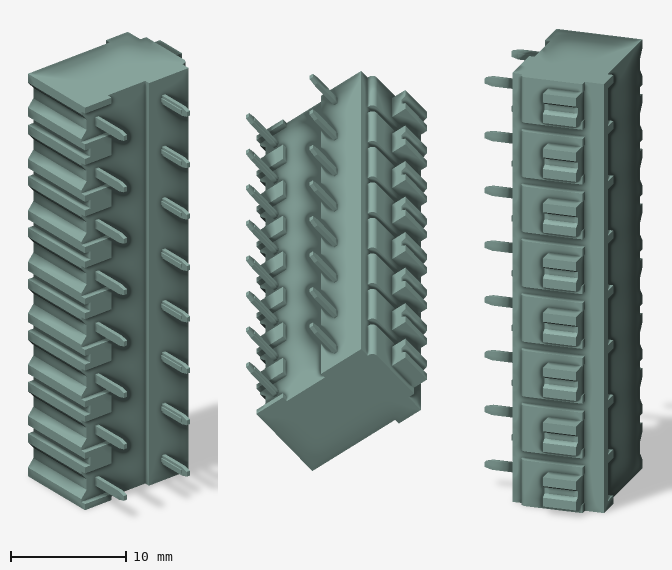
import cadquery as cq

LENGTH = 39.75
POLES = 8
END_MARGIN = 2.1
PITCH = (LENGTH - 2 * END_MARGIN) / (POLES - 1)

BODY_LEFT = 0.5
BODY_RIGHT = 8.43
BODY_REAR = 11.55

LIP_BOTTOM = 10.5
LEG_BOTTOM = 9.1
LEG_WIDTH = 0.75

RIDGE_LEFT = 1.75
RIDGE_RIGHT = 7.5
RIDGE_REAR = 12.15
RIDGE_FILLET = 0.5

TAB_LEFT = 1.83
TAB_RIGHT = 4.9
TAB_REAR = 13.65
TAB_WIDTH = 2.7
TAB_NOTCH_DEPTH = 0.45
TAB_NOTCH_MOUTH = 1.07
TAB_NOTCH_FLOOR = 0.55

GROOVE_DEPTH = 0.6
GROOVE_MOUTH = 2.45
GROOVE_FLOOR = 1.05
SLOT_WIDTH = 0.85

STANDOFF = 0.5
CHANNEL_FRONT = 2.95
CHANNEL_REAR = 7.1
POCKET_WIDTH = 3.02

PIN_TIP = 11.9
PIN_ROOT = 7.5
PIN_WIDTH = 0.85
PIN_TIP_WIDTH = 0.48
PIN_TAPER_LENGTH = 0.68
PIN_THICKNESS = 0.35
PIN_RIB_WIDTH = 0.35
PIN_RIB_HEIGHT = 0.1
FRONT_PIN_OUTER = 1.55
REAR_PIN_OUTER = 8.9

POLE_CENTERS = [END_MARGIN + PITCH * i for i in range(POLES)]
GAP_CENTERS = [z + PITCH / 2 for z in POLE_CENTERS[:-1]]


def box(x0, x1, y0, y1, z0, z1):
    """Axis-aligned block between two corners."""
    return cq.Workplane("XY").box(x1 - x0, y1 - y0, z1 - z0, centered=False).translate((x0, y0, z0))


def trapezoid_bar(x0, x1, y_mouth, y_floor, mouth, floor, z):
    """Bar along X with a trapezoid section, widest at y_mouth."""
    section = [
        (y_mouth, z - mouth / 2),
        (y_mouth, z + mouth / 2),
        (y_floor, z + floor / 2),
        (y_floor, z - floor / 2),
    ]
    return cq.Workplane("YZ", origin=(x0, 0, 0)).polyline(section).close().extrude(x1 - x0)


def housing():
    """Body, ridge and lip with the right-face channel."""
    body = box(BODY_LEFT, BODY_RIGHT, 0, BODY_REAR, 0, LENGTH)
    ridge = box(RIDGE_LEFT, RIDGE_RIGHT, BODY_REAR, RIDGE_REAR, 0, LENGTH)
    ridge = ridge.edges(">X and >Y").fillet(RIDGE_FILLET)
    lip = box(0, BODY_LEFT, LIP_BOTTOM, BODY_REAR, 0, LENGTH)
    channel = box(BODY_RIGHT - STANDOFF, BODY_RIGHT, CHANNEL_FRONT, CHANNEL_REAR, 0, LENGTH)
    return body.union(ridge).union(lip).cut(channel)


def lip_leg(z0, z1):
    return box(0, BODY_LEFT, LEG_BOTTOM, LIP_BOTTOM, z0, z1)


def tab(z):
    """Rear tab with a tapered notch in its end."""
    plate = box(TAB_LEFT, TAB_RIGHT, BODY_REAR, TAB_REAR, z - TAB_WIDTH / 2, z + TAB_WIDTH / 2)
    notch = trapezoid_bar(
        TAB_LEFT, TAB_RIGHT, TAB_REAR, TAB_REAR - TAB_NOTCH_DEPTH, TAB_NOTCH_MOUTH, TAB_NOTCH_FLOOR, z
    )
    return plate.cut(notch)


def pin(y_outer, inward, z):
    """Pin with a tapered tip; inward is the Y direction (+1 or -1) of its ribbed face."""
    shoulder = PIN_TIP - PIN_TAPER_LENGTH
    outline = [
        (PIN_ROOT, z - PIN_WIDTH / 2),
        (shoulder, z - PIN_WIDTH / 2),
        (PIN_TIP, z - PIN_TIP_WIDTH / 2),
        (PIN_TIP, z + PIN_TIP_WIDTH / 2),
        (shoulder, z + PIN_WIDTH / 2),
        (PIN_ROOT, z + PIN_WIDTH / 2),
    ]
    face = cq.Workplane("XZ", origin=(0, y_outer, 0))
    blade = face.polyline(outline).close().extrude(-inward * PIN_THICKNESS)
    rib = (
        face.center((PIN_ROOT + shoulder) / 2, z)
        .rect(shoulder - PIN_ROOT, PIN_RIB_WIDTH)
        .extrude(-inward * (PIN_THICKNESS + PIN_RIB_HEIGHT))
    )
    return blade.union(rib)


result = housing()

for z in GAP_CENTERS:
    z0, z1 = z - SLOT_WIDTH / 2, z + SLOT_WIDTH / 2
    result = result.cut(box(BODY_LEFT, BODY_RIGHT, 0, GROOVE_DEPTH, z0, z1))
    result = result.cut(box(RIDGE_LEFT, RIDGE_RIGHT, BODY_REAR, RIDGE_REAR, z0, z1))
    result = result.union(lip_leg(z - LEG_WIDTH / 2, z + LEG_WIDTH / 2))

result = result.union(lip_leg(0, LEG_WIDTH))
result = result.union(lip_leg(LENGTH - LEG_WIDTH, LENGTH))

for z in POLE_CENTERS:
    result = result.cut(
        trapezoid_bar(BODY_LEFT, BODY_RIGHT, 0, GROOVE_DEPTH, GROOVE_MOUTH, GROOVE_FLOOR, z)
    )
    pocket = box(
        BODY_RIGHT - STANDOFF, BODY_RIGHT, 0, CHANNEL_FRONT, z - POCKET_WIDTH / 2, z + POCKET_WIDTH / 2
    )
    tab_relief = box(
        RIDGE_LEFT, TAB_LEFT, BODY_REAR, RIDGE_REAR, z - TAB_WIDTH / 2, z + TAB_WIDTH / 2
    )
    result = result.cut(pocket).cut(tab_relief).union(tab(z))
    result = result.union(pin(FRONT_PIN_OUTER, 1, z))
    result = result.union(pin(REAR_PIN_OUTER, -1, z))